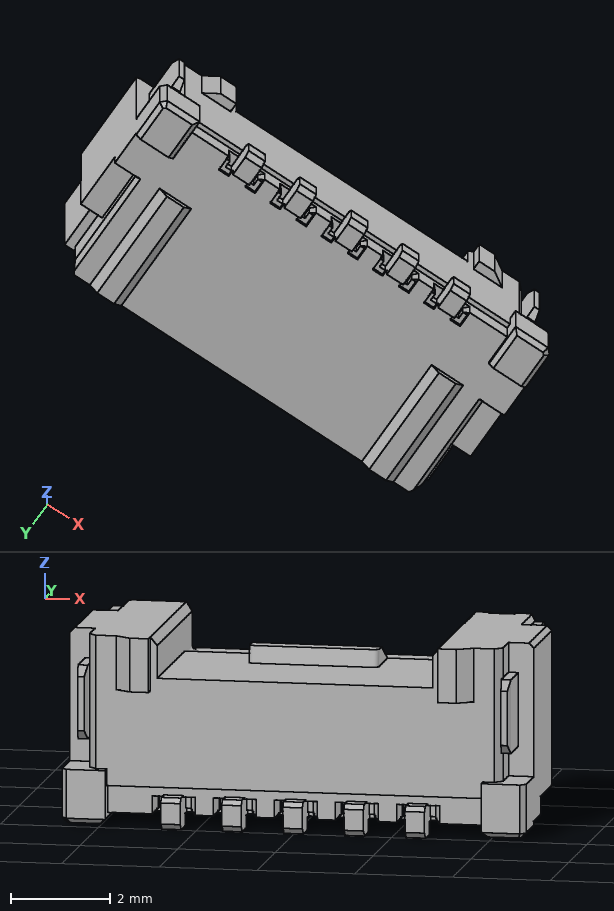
import cadquery as cq


top_z = 3.9
bottom_z = 0.26
rear_y = 3.94
body_half_x = 4.23
edge_bevel = 0.1
front_corner_bevel = 0.15
rear_corner_bevel_x = 0.15
rear_corner_bevel_y = 0.26

shell_half_x = 4.75
shell_front_y = 0.75
shell_rear_y = 2.72
shell_step_y = 1.51
shell_step_z = 0.63

plate_half_x = 4.43
plate_rear_y = 3.77
plate_bottom_z = 1.17
plate_bevel = 0.15

deck_z = 3.06
deck_half_x = 2.82
deck_lip_bevel_x = 0.14
deck_lip_bevel_z = 0.17
step_front_y = 3.02
step_rear_y = 3.18
step_drop = 0.09
step_z = deck_z - step_drop
step_fillet = 0.09
mouth_bevel_x = 0.2

rib_half_x = 1.33
rib_top_z = 3.41
rib_front_y = 1.97
rib_front_lean = 0.07
rib_corner_radius = 0.12
ramp_run_per_rise = (step_rear_y - step_front_y) / step_drop
rib_crest_y = step_front_y - (rib_top_z - deck_z) * ramp_run_per_rise

boss_outer_x = 3.66
boss_face_x = 3.34
boss_inner_x = deck_half_x + deck_lip_bevel_x
boss_depth = 0.2
boss_bottom_z = 2.8

foot_inner_x = 3.85
foot_front_y = -0.2
foot_bottom_z = 0.06
foot_top_z = 1.17
foot_bevel = 0.11

rail_inner_x = 2.93
rail_outer_x = 3.7
rail_slope_x = 0.18
rail_front_y = 1.45

recess_top_z = 0.83
recess_depth = 0.1

contact_count = 5
contact_pitch = 1.25
contact_width = 0.4
contact_top_z = 0.66
contact_tip_y = -0.26
contact_heel_y = 0.3
contact_root_y = 0.6
contact_top_bevel_z = 0.1
contact_bottom_bevel_z = 0.13
contact_top_bevel_y = 0.08
contact_bottom_bevel_y = 0.12
pocket_width = 0.88
pocket_top_z = 0.63
pocket_depth = 0.25
pocket_taper = 0.1
relief_depth = 0.35

tab_bottom_z = 1.78
tab_top_z = 3.29
tab_tip_length = 0.21
tab_tip_inset_z = 0.2
tab_tip_inset_x = 0.035

mark_left_x = 3.25
mark_right_x = 3.77
mark_depth_y = 0.1
mark_depth_z = 0.45


def box(x_range, y_range, z_range):
    """Box given by its limits along each axis."""
    size = [high - low for low, high in (x_range, y_range, z_range)]
    corner = (x_range[0], y_range[0], z_range[0])
    return cq.Workplane("XY").box(*size, centered=False).translate(corner)


def prism_along_x(points_yz, x_min, x_max):
    return cq.Workplane("YZ").polyline(points_yz).close().extrude(x_max - x_min).translate((x_min, 0, 0))


def prism_along_y(points_xz, y_min, y_max):
    return cq.Workplane("XZ").polyline(points_xz).close().extrude(y_min - y_max).translate((0, y_min, 0))


def prism_along_z(points_xy, z_min, z_max):
    return cq.Workplane("XY").polyline(points_xy).close().extrude(z_max - z_min).translate((0, 0, z_min))


def both_sides(shape):
    return shape.union(shape.mirror("YZ"))


def housing():
    """Main block, with bevelled corners and bevelled top and bottom side edges."""
    half_plan = [
        (0, 0),
        (body_half_x - front_corner_bevel, 0),
        (body_half_x, front_corner_bevel),
        (body_half_x, rear_y - rear_corner_bevel_y),
        (body_half_x - rear_corner_bevel_x, rear_y),
        (0, rear_y),
    ]
    half = prism_along_z(half_plan, bottom_z, top_z)
    inset_x = body_half_x - edge_bevel
    top_edge = [(inset_x, top_z), (body_half_x, top_z), (body_half_x, top_z - edge_bevel)]
    bottom_edge = [(inset_x, bottom_z), (body_half_x, bottom_z), (body_half_x, bottom_z + edge_bevel)]
    half = half.cut(prism_along_y(top_edge, shell_rear_y, rear_y))
    half = half.cut(prism_along_y(bottom_edge, shell_step_y, rear_y))
    return both_sides(half)


def side_shells():
    profile = [
        (shell_front_y, bottom_z),
        (shell_step_y, bottom_z),
        (shell_step_y, shell_step_z),
        (shell_rear_y, shell_step_z),
        (shell_rear_y, top_z),
        (shell_front_y, top_z),
    ]
    shell = prism_along_x(profile, boss_inner_x, shell_half_x)
    return both_sides(shell.edges("|Y and >X and >Z").chamfer(edge_bevel))


def side_plates():
    """Plates behind the shells; only the one on +X has its top rear edge bevelled."""
    y_range = (shell_rear_y, plate_rear_y)
    z_range = (plate_bottom_z, top_z - edge_bevel)
    inner_x = body_half_x - rear_corner_bevel_x
    plate = box((inner_x, plate_half_x), y_range, z_range)
    return plate.edges(">Y and >Z").chamfer(plate_bevel).union(plate.mirror("YZ"))


def feet():
    foot = box((foot_inner_x, shell_half_x), (foot_front_y, shell_front_y), (foot_bottom_z, foot_top_z))
    foot = foot.edges("|Z and >X and <Y").chamfer(foot_bevel)
    return both_sides(foot.faces("<Z").edges("not(>Y)").chamfer(foot_bevel))


def guide_bosses():
    plan = [
        (boss_inner_x, 0),
        (boss_inner_x, -boss_depth),
        (boss_face_x, -boss_depth),
        (boss_outer_x, 0),
    ]
    return both_sides(prism_along_z(plan, boss_bottom_z, top_z))


def rails():
    profile = [
        (rail_inner_x, bottom_z),
        (rail_inner_x + rail_slope_x, foot_bottom_z),
        (rail_outer_x - rail_slope_x, foot_bottom_z),
        (rail_outer_x, bottom_z),
    ]
    return both_sides(prism_along_y(profile, rail_front_y, rear_y))


def deck_opening():
    """Space above the deck, flared at the top and at the rear corners, with the lowered rear step."""
    lip_x = deck_half_x + deck_lip_bevel_x
    lip_z = top_z - deck_lip_bevel_z
    profile = [
        (-deck_half_x, deck_z),
        (deck_half_x, deck_z),
        (deck_half_x, lip_z),
        (lip_x, top_z),
        (-lip_x, top_z),
        (-deck_half_x, lip_z),
    ]
    step = [
        (step_front_y, deck_z),
        (step_rear_y, step_z),
        (rear_y, step_z),
        (rear_y, deck_z),
    ]
    step_floor_x = deck_half_x - step_fillet
    step_section = (
        cq.Workplane("XZ")
        .moveTo(-deck_half_x, step_z + step_fillet)
        .radiusArc((-step_floor_x, step_z), -step_fillet)
        .lineTo(step_floor_x, step_z)
        .radiusArc((deck_half_x, step_z + step_fillet), -step_fillet)
        .close()
        .extrude(-rear_y)
    )
    mouth_outer_x = step_floor_x + mouth_bevel_x
    mouth = [
        (step_floor_x, rear_y),
        (mouth_outer_x, rear_y),
        (step_floor_x, rear_y - mouth_bevel_x),
    ]
    opening = prism_along_y(profile, 0, rear_y)
    opening = opening.union(prism_along_x(step, -deck_half_x, deck_half_x).intersect(step_section))
    return opening.union(both_sides(prism_along_z(mouth, step_z, top_z)))


def latch_rib():
    profile = [
        (step_front_y, deck_z),
        (rib_crest_y, rib_top_z),
        (rib_front_y + rib_front_lean, rib_top_z),
        (rib_front_y, deck_z),
    ]
    rib = prism_along_x(profile, -rib_half_x, rib_half_x)
    return rib.faces("<Y").edges("not(|X)").fillet(rib_corner_radius)


def front_recess():
    return box((-foot_inner_x, foot_inner_x), (0, recess_depth), (bottom_z, recess_top_z))


def contact(x):
    """Contact with a shank rooted in the housing and a foot reaching down to the soldering plane."""
    profile = [
        (contact_heel_y, 0),
        (contact_tip_y + contact_bottom_bevel_y, 0),
        (contact_tip_y, contact_bottom_bevel_z),
        (contact_tip_y, contact_top_z - contact_top_bevel_z),
        (contact_tip_y + contact_top_bevel_y, contact_top_z),
        (contact_root_y, contact_top_z),
        (contact_root_y, bottom_z),
        (contact_heel_y, bottom_z),
    ]
    return prism_along_x(profile, x - contact_width / 2, x + contact_width / 2)


def contact_pocket(x):
    """Pocket in the recessed wall with a tapered mouth, undercut where it opens through the bottom."""
    throat_y = recess_depth + pocket_taper
    back_y = recess_depth + pocket_depth
    half_width = pocket_width / 2
    half_throat = half_width - pocket_taper
    plan = [
        (x - half_width, recess_depth),
        (x + half_width, recess_depth),
        (x + half_throat, throat_y),
        (x + half_throat, back_y),
        (x - half_throat, back_y),
        (x - half_throat, throat_y),
    ]
    relief_back_y = recess_depth + relief_depth
    relief_top_z = bottom_z + pocket_taper
    relief = [
        (recess_depth, bottom_z),
        (throat_y, relief_top_z),
        (relief_back_y, relief_top_z),
        (relief_back_y, bottom_z),
    ]
    pocket = prism_along_z(plan, bottom_z, pocket_top_z)
    return pocket.union(prism_along_x(relief, x - half_width, x + half_width))


def solder_tabs():
    """Tabs lying on the housing sides, narrowing to a blunt tip at the front."""
    tip_start_y = contact_tip_y + tab_tip_length
    profile = [
        (shell_front_y, tab_bottom_z),
        (tip_start_y, tab_bottom_z),
        (contact_tip_y, tab_bottom_z + tab_tip_inset_z),
        (contact_tip_y, tab_top_z - tab_tip_inset_z),
        (tip_start_y, tab_top_z),
        (shell_front_y, tab_top_z),
    ]
    plan = [
        (body_half_x, shell_front_y),
        (body_half_x, tip_start_y),
        (body_half_x + tab_tip_inset_x, contact_tip_y),
        (plate_half_x - tab_tip_inset_x, contact_tip_y),
        (plate_half_x, tip_start_y),
        (plate_half_x, shell_front_y),
    ]
    slab = prism_along_x(profile, body_half_x, plate_half_x)
    return both_sides(slab.intersect(prism_along_z(plan, tab_bottom_z, tab_top_z)))


def orientation_mark():
    apex_x = (mark_left_x + mark_right_x) / 2
    profile = [(mark_left_x, top_z), (mark_right_x, top_z), (apex_x, top_z - mark_depth_z)]
    return prism_along_y(profile, rear_y - mark_depth_y, rear_y)


contact_positions = [(i - (contact_count - 1) / 2) * contact_pitch for i in range(contact_count)]

result = housing().union(side_shells()).cut(deck_opening())
for added in (side_plates(), feet(), guide_bosses(), rails(), latch_rib(), solder_tabs()):
    result = result.union(added)
result = result.cut(orientation_mark()).cut(front_recess())
for contact_x in contact_positions:
    result = result.cut(contact_pocket(contact_x))
for contact_x in contact_positions:
    result = result.union(contact(contact_x))